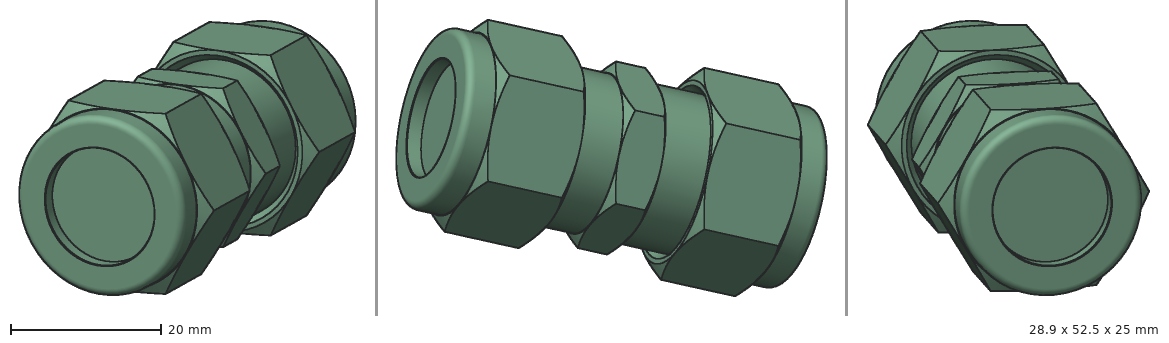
import cadquery as cq
import math

LENGTH = 52.5
NUT_FLATS = 25.0
NUT_INNER_END = 9.25
NUT_OUTER_END = 22.2
COLLAR_RADIUS = 12.4
COLLAR_FILLET = 1.05
BODY_FLATS = 22.0
BODY_HEX_WIDTH = 6.2
NECK_RADIUS = 10.9
BORE_RADIUS = 8.1
BORE_MOUTH_CHAMFER = 0.1
BORE_DEPTH = 2.1
RECESS_RADIUS = 11.8
RECESS_DEPTH = 1.15
CHAMFER_ANGLE = 30.0

HALF_LENGTH = LENGTH / 2


def revolve_profile(points):
    """Revolve a closed (radius, Y) outline about the Y axis."""
    return cq.Workplane("XY").polyline(points).close().revolve(360, (0, 0, 0), (0, 1, 0))


def cylinder(radius, start, end):
    return revolve_profile([(0, start), (radius, start), (radius, end), (0, end)])


def chamfered_hexagon(flats, start, end):
    """Hexagon along Y with corners on the X axis and conical chamfers at both ends."""
    flat_radius = flats / 2
    corner_radius = flat_radius / math.cos(math.radians(30))
    drop = (corner_radius - flat_radius) * math.tan(math.radians(CHAMFER_ANGLE))
    prism = (
        cq.Workplane("XZ", origin=(0, end, 0))
        .polygon(6, 2 * corner_radius)
        .extrude(end - start)
    )
    envelope = revolve_profile([
        (0, start),
        (flat_radius, start),
        (corner_radius, start + drop),
        (corner_radius, end - drop),
        (flat_radius, end),
        (0, end),
    ])
    return prism.intersect(envelope)


def end_nut():
    """Nut at the +Y end, with rounded collar, blind tube bore and conical neck relief."""
    hexagon = chamfered_hexagon(NUT_FLATS, NUT_INNER_END, NUT_OUTER_END)
    recess = revolve_profile([
        (0, NUT_INNER_END),
        (RECESS_RADIUS, NUT_INNER_END),
        (NECK_RADIUS, NUT_INNER_END + RECESS_DEPTH),
        (0, NUT_INNER_END + RECESS_DEPTH),
    ])
    collar = cylinder(COLLAR_RADIUS, NUT_OUTER_END, HALF_LENGTH).faces(">Y").edges().fillet(COLLAR_FILLET)
    bore_floor = HALF_LENGTH - BORE_DEPTH
    bore = revolve_profile([
        (0, bore_floor),
        (BORE_RADIUS, bore_floor),
        (BORE_RADIUS, HALF_LENGTH - BORE_MOUTH_CHAMFER),
        (BORE_RADIUS + BORE_MOUTH_CHAMFER, HALF_LENGTH),
        (0, HALF_LENGTH),
    ])
    return hexagon.cut(recess).union(collar).cut(bore)


nut = end_nut()
neck_end = NUT_INNER_END + RECESS_DEPTH
neck = cylinder(NECK_RADIUS, -neck_end, neck_end)
body_hexagon = chamfered_hexagon(BODY_FLATS, -BODY_HEX_WIDTH / 2, BODY_HEX_WIDTH / 2)

result = neck.union(body_hexagon).union(nut).union(nut.mirror("XZ"))